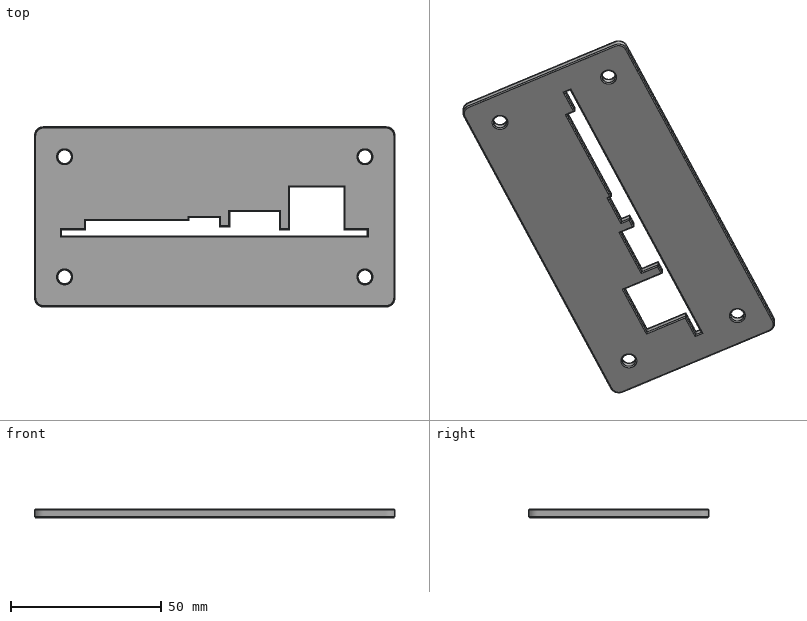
import cadquery as cq

plate_length = 120.0
plate_width = 60.0
plate_thickness = 3.0
corner_radius = 3.0
edge_chamfer = 0.4

hole_diameter = 4.5
hole_inset = 10.0

slot_left = -50.95
body_left = -42.95
shoulder_left = -8.55
shoulder_right = 1.5
middle_window_left = 5.0
middle_window_right = 21.5
tall_window_left = 24.95
tall_window_right = 42.95
slot_right = 50.75

slot_bottom = -6.3
slot_top = slot_bottom + 2.0
short_tooth_tip = slot_bottom + 3.0
body_top = slot_bottom + 5.0
shoulder_top = slot_bottom + 6.0
middle_window_top = slot_bottom + 8.0
tall_window_top = slot_bottom + 16.25


def make_plate():
    """Rectangular plate with rounded corners and both rims chamfered."""
    plate = cq.Workplane("XY").rect(plate_length, plate_width).extrude(plate_thickness)
    plate = plate.edges("|Z").fillet(corner_radius)
    return plate.faces("<Z or >Z").edges().chamfer(edge_chamfer)


def make_holes():
    """Four through holes, one near each corner."""
    spacing_x = plate_length - 2 * hole_inset
    spacing_y = plate_width - 2 * hole_inset
    return (
        cq.Workplane("XY")
        .rect(spacing_x, spacing_y, forConstruction=True)
        .vertices()
        .circle(hole_diameter / 2)
        .extrude(plate_thickness)
    )


def make_profile_cutout():
    """Stepped through opening with a straight lower wall."""
    outline = [
        (slot_left, slot_bottom),
        (slot_left, slot_top),
        (body_left, slot_top),
        (body_left, body_top),
        (shoulder_left, body_top),
        (shoulder_left, shoulder_top),
        (shoulder_right, shoulder_top),
        (shoulder_right, short_tooth_tip),
        (middle_window_left, short_tooth_tip),
        (middle_window_left, middle_window_top),
        (middle_window_right, middle_window_top),
        (middle_window_right, slot_top),
        (tall_window_left, slot_top),
        (tall_window_left, tall_window_top),
        (tall_window_right, tall_window_top),
        (tall_window_right, slot_top),
        (slot_right, slot_top),
        (slot_right, slot_bottom),
    ]
    return cq.Workplane("XY").polyline(outline).close().extrude(plate_thickness)


def chamfer_opening_rims(part):
    """Break the rims of the holes and the cutout on the upper and lower faces."""
    for face_selector in ("<Z", ">Z"):
        face = part.faces(face_selector).val()
        rims = [edge for wire in face.innerWires() for edge in wire.Edges()]
        part = part.newObject(rims).chamfer(edge_chamfer)
    return part


result = make_plate().cut(make_holes()).cut(make_profile_cutout())
result = chamfer_opening_rims(result)